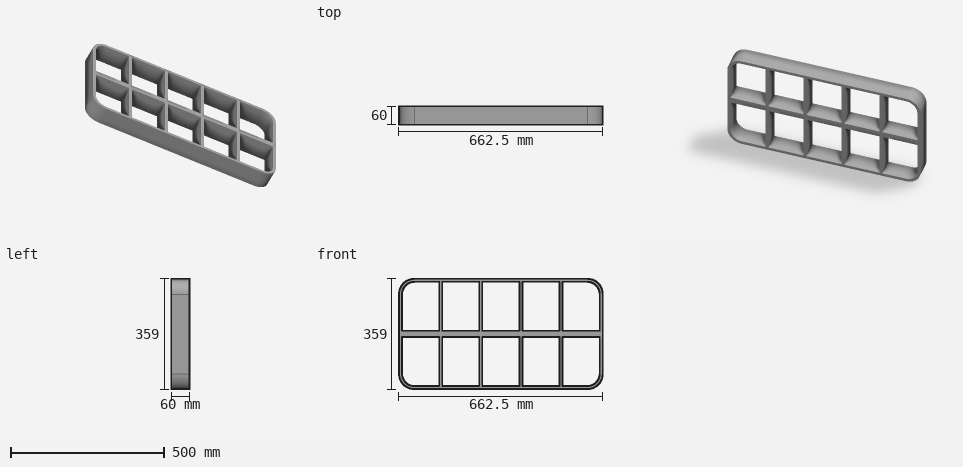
import cadquery as cq

length = 662.5
depth = 60.0
height = 359.0
corner_radius = 50.5

wall = 10.5
middle_rail = 21.0
columns = 5
rows = 2
cell_width = (length - (columns + 1) * wall) / columns
cell_height = (height - 2 * wall - middle_rail) / rows


def rounded_block(size_x, size_z, radius):
    """Block of the frame's depth, centred, with its corners rounded about Y."""
    return cq.Workplane("XY").box(size_x, depth, size_z).edges("|Y").fillet(radius)


def compartments():
    """Grid of rectangular through openings."""
    return (
        cq.Workplane("XZ")
        .rarray(cell_width + wall, cell_height + middle_rail, columns, rows)
        .rect(cell_width, cell_height)
        .extrude(depth / 2, both=True)
    )


inner_outline = rounded_block(length - 2 * wall, height - 2 * wall, corner_radius - wall)
openings = compartments().intersect(inner_outline)

result = rounded_block(length, height, corner_radius).cut(openings)